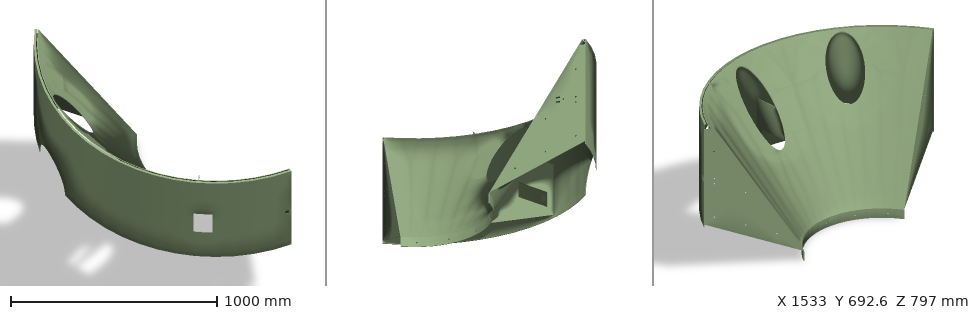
import cadquery as cq
import math

sector_angle = 120.0
half_angle = sector_angle / 2
total_width = 1533.0
total_height = 797.0
sheet = 3.0
small_hole = 8.0

wall_outer_radius = total_width / 2 / math.sin(math.radians(half_angle))
wall_inner_radius = wall_outer_radius - sheet
wall_bottom = 238.0
lip_inner_radius = 874.0

arch_azimuth = -30.0
arch_radius = 149.0
arch_hole_spread = 10.0
arch_hole_rise = 12.0
window_azimuth = 31.5
window_width = 94.0
window_height = 138.0
window_middle = 492.0
latch_azimuth = 58.6
latch_width = 18.0
latch_height = 25.0
latch_level = 495.0

ring_inner_radius = 385.0
ring_height = 50.0
ring_hole_pitch = 24.0
ring_hole_level = 23.0

cone_top_radius = 866.0
cone_slope = (cone_top_radius - ring_inner_radius) / (total_height - ring_height)
cone_wall = sheet / math.cos(math.atan(cone_slope))
spout_radius = 97.0
spout_distance = 762.0
oval_half_length = 124.0
oval_azimuth = 11.0
oval_distance = 724.0
oval_tilt = 20.0

plate_foot = 57.0
plate_heel = 255.0
rib_slot_inner = 660.0
rib_slot_outer = 843.0
rib_slot_bottom = 284.0
rib_slot_top = 363.0
plate_top = 770.0
rib_top = 521.0
grip_slot_distance = 742.0
grip_slot_spacing = 23.0
grip_slot_length = 23.0
grip_slot_height = 8.0
grip_hole_distance = 770.0
plate_holes = [
    (834.0, 644.0),
    (834.0, 497.0),
    (834.0, 469.0),
    (834.0, 288.0),
    (678.0, 403.0),
    (678.0, 228.0),
    (521.0, 164.0),
]

gusset_azimuth = 30.0
gusset_inner_radius = 834.0
gusset_height = 61.0


def face_azimuth(shape, azimuth):
    """Turn a shape built along +X so that +X points at the given azimuth."""
    return shape.rotate((0, 0, 0), (0, 0, 1), azimuth - 90)


def revolve_sector(profile):
    """Sweep a closed (radius, height) profile through the whole sector."""
    swept = cq.Workplane("XZ").polyline(profile).close().revolve(sector_angle, (0, 0), (0, 1))
    return face_azimuth(swept, -half_angle)


def radial_cutter(sketch, azimuth):
    """Push a sketch drawn on the YZ plane outward from the axis toward an azimuth."""
    return face_azimuth(sketch.extrude(2 * wall_outer_radius), azimuth)


def radial_hole(azimuth, level):
    return radial_cutter(cq.Workplane("YZ").center(0, level).circle(small_hole / 2), azimuth)


def radial_plate(profile, start, outer_radius):
    """Flat sheet along +X from a (radius, height) profile, spanning start to start + sheet in Y.

    Its outer edge is trimmed to the cylinder of the given radius.
    """
    plate = cq.Workplane("XZ", origin=(0, start, 0)).polyline(profile).close().extrude(-sheet)
    return plate.intersect(cq.Workplane("XY").circle(outer_radius).extrude(total_height))


def cone_outer_radius(level):
    return ring_inner_radius + cone_wall + cone_slope * (level - ring_height)


def make_wall():
    wall = revolve_sector([
        (wall_inner_radius, wall_bottom),
        (wall_outer_radius, wall_bottom),
        (wall_outer_radius, total_height),
        (lip_inner_radius, total_height),
        (lip_inner_radius, total_height - sheet),
        (wall_inner_radius, total_height - sheet),
    ])
    arch = cq.Workplane("YZ").center(0, wall_bottom).circle(arch_radius)
    wall = wall.cut(radial_cutter(arch, arch_azimuth))
    for side in (-1, 1):
        wall = wall.cut(radial_hole(arch_azimuth + side * arch_hole_spread, wall_bottom + arch_hole_rise))
    window = cq.Workplane("YZ").center(0, window_middle).rect(window_width, window_height)
    wall = wall.cut(radial_cutter(window, window_azimuth))
    latch = cq.Workplane("YZ").center(0, latch_level).rect(latch_width, latch_height)
    return wall.cut(radial_cutter(latch, latch_azimuth))


def make_base_ring():
    ring = revolve_sector([
        (ring_inner_radius, 0),
        (ring_inner_radius + cone_wall, 0),
        (ring_inner_radius + cone_wall, ring_height),
        (ring_inner_radius, ring_height),
    ])
    for step in (-2, -1, 0, 1, 2):
        ring = ring.cut(radial_hole(step * ring_hole_pitch, ring_hole_level))
    return ring


def make_cone(gusset):
    cone = revolve_sector([
        (ring_inner_radius, ring_height),
        (ring_inner_radius + cone_wall, ring_height),
        (cone_top_radius + cone_wall, total_height),
        (cone_top_radius, total_height),
    ])
    spout = cq.Workplane("XY").center(spout_distance, 0).circle(spout_radius).extrude(total_height)
    oval = (
        cq.Workplane("XY")
        .center(oval_distance, 0)
        .transformed(rotate=(0, 0, oval_tilt - oval_azimuth))
        .ellipse(oval_half_length, spout_radius)
        .extrude(total_height)
    )
    cone = cone.cut(face_azimuth(spout, arch_azimuth)).cut(face_azimuth(oval, oval_azimuth))
    return cone.cut(gusset)


def make_web(start, top):
    """Web that fills the gap between the cone and the wall, with a sloping lower edge."""
    return radial_plate(
        [
            (cone_outer_radius(plate_foot), plate_foot),
            (wall_outer_radius, plate_heel),
            (wall_outer_radius, top),
            (cone_outer_radius(top), top),
        ],
        start,
        wall_inner_radius,
    )


def make_side_plate(start):
    holes = cq.Workplane("XZ").pushPoints(plate_holes).circle(small_hole / 2).extrude(sheet, both=True)
    return make_web(start, plate_top).cut(holes)


def make_left_plate():
    grip_slots = (
        cq.Workplane("XZ")
        .center(grip_slot_distance, latch_level)
        .rarray(15, grip_slot_spacing, 1, 2)
        .rect(grip_slot_length, grip_slot_height)
        .extrude(sheet, both=True)
    )
    grip_hole = (
        cq.Workplane("XZ")
        .center(grip_hole_distance, latch_level)
        .circle(small_hole / 2)
        .extrude(sheet, both=True)
    )
    return face_azimuth(make_side_plate(0).cut(grip_slots).cut(grip_hole), -half_angle)


def make_right_plate():
    return face_azimuth(make_side_plate(-sheet), half_angle)


def make_centre_rib():
    slot = (
        cq.Workplane("XZ")
        .moveTo(rib_slot_inner, rib_slot_bottom)
        .lineTo(rib_slot_outer, rib_slot_bottom)
        .lineTo(rib_slot_outer, rib_slot_top)
        .lineTo(rib_slot_inner, rib_slot_top)
        .close()
        .extrude(sheet, both=True)
    )
    return face_azimuth(make_web(-sheet / 2, rib_top).cut(slot), 0)


def make_gusset():
    gusset = radial_plate(
        [
            (gusset_inner_radius, total_height),
            (wall_outer_radius, total_height),
            (wall_outer_radius, total_height - gusset_height),
        ],
        -sheet / 2,
        lip_inner_radius,
    )
    return face_azimuth(gusset, gusset_azimuth)


gusset = make_gusset()
wall = make_wall()
base_ring = make_base_ring()
cone = make_cone(gusset)
left_plate = make_left_plate()
right_plate = make_right_plate()
centre_rib = make_centre_rib()

result = cq.Compound.makeCompound([
    wall.val(),
    base_ring.val(),
    cone.val(),
    left_plate.val(),
    right_plate.val(),
    centre_rib.val(),
    gusset.val(),
])